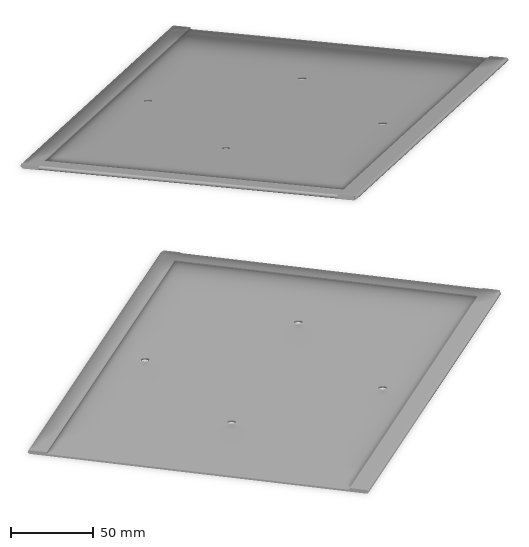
import cadquery as cq
import math

width = 215.0
length = 300
thickness = 2.5
edge_radius = thickness / 2

border = 12.0
recess_depth = thickness / 2
recess_width = width - 2 * border

corner_length = 1.8
corner_inset = edge_radius
lower_setback = 0.3

hole_diameter = 5.0
hole_reach = 75
side_holes_y = 2.5

front_y = -length / 2
back_y = length / 2
top_z = thickness / 2


def box_between(x_size, y_start, y_end, z_start, z_end):
    """Box centred on X between the given Y and Z limits."""
    return (
        cq.Workplane("XY")
        .box(x_size, y_end - y_start, z_end - z_start, centered=(True, False, False))
        .translate((0, y_start, z_start))
    )


def make_main_plate():
    """Plate whose two long sides are full half-rounds."""
    straight_x = width / 2 - edge_radius
    plate_length = length - corner_length
    return (
        cq.Workplane("XZ", origin=(0, back_y, 0))
        .moveTo(-straight_x, -top_z)
        .lineTo(straight_x, -top_z)
        .threePointArc((width / 2, 0), (straight_x, top_z))
        .lineTo(-straight_x, top_z)
        .threePointArc((-width / 2, 0), (-straight_x, -top_z))
        .close()
        .extrude(plate_length)
    )


def make_front_corners():
    """Square-ended front strip in two layers."""
    strip_width = width - 2 * corner_inset
    strip_back = front_y + border
    upper = box_between(strip_width, front_y, strip_back, 0, top_z)
    lower = box_between(strip_width, front_y + lower_setback, strip_back, -top_z, 0)
    return upper.union(lower)


def make_front_round():
    """Half-round front edge between the corners, as two quarter arcs."""
    straight_y = front_y + edge_radius
    arc_offset = edge_radius * math.sqrt(0.5)
    return (
        cq.Workplane("YZ", origin=(-recess_width / 2, 0, 0))
        .moveTo(front_y + border, -top_z)
        .lineTo(straight_y, -top_z)
        .threePointArc((straight_y - arc_offset, -arc_offset), (front_y, 0))
        .threePointArc((straight_y - arc_offset, arc_offset), (straight_y, top_z))
        .lineTo(front_y + border, top_z)
        .close()
        .extrude(recess_width)
    )


def make_recess():
    """Shallow pocket inside the border, open at the back."""
    return box_between(recess_width, front_y + border, back_y, top_z - recess_depth, top_z)


def make_holes():
    """Four through holes."""
    centres = [
        (-hole_reach, side_holes_y),
        (hole_reach, side_holes_y),
        (0, hole_reach),
        (0, -hole_reach),
    ]
    return (
        cq.Workplane("XY", origin=(0, 0, -top_z))
        .pushPoints(centres)
        .circle(hole_diameter / 2)
        .extrude(thickness)
    )


front_opening = box_between(recess_width, front_y, front_y + border, -top_z, top_z)

result = (
    make_main_plate()
    .union(make_front_corners())
    .cut(front_opening)
    .union(make_front_round())
    .cut(make_recess())
    .cut(make_holes())
)